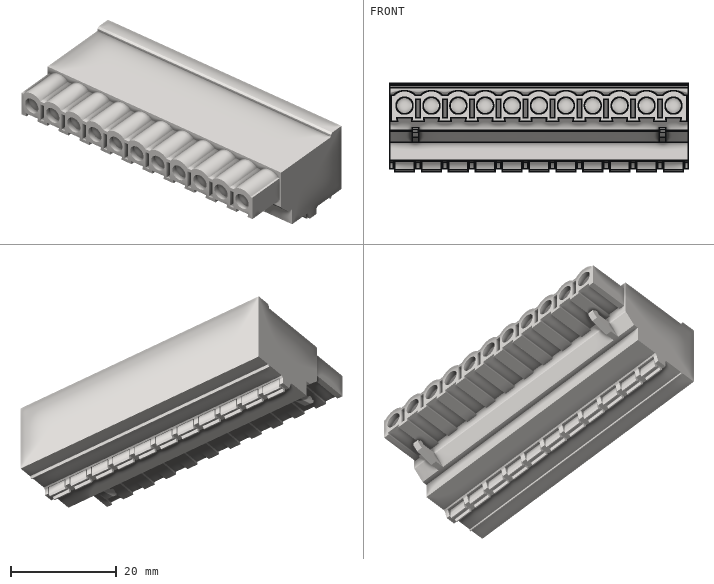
import cadquery as cq
import math


length = 56.5
pole_count = 11
pole_pitch = 5.1

housing_depth = 18.3
housing_top = 13.7
lower_depth = 15.0
undercut_bottom = 3.45
undercut_run = 2.2
undercut_rise = 2.05
undercut_edge_depth = 0.1
undercut_edge_height = 0.2
rim_height = 0.85
rim_depth = 3.15
rim_chamfer = 0.35
undercut_front = housing_depth - undercut_edge_depth
undercut_top = undercut_bottom + undercut_rise

sleeve_length = 8.3
sleeve_end_gap = 0.35
sleeve_axis_z = 10.35
sleeve_radius = 2.8
sleeve_shoulder_z = 12.25
sleeve_bottom_z = 7.35
bore_radius = 1.6
bore_depth = 1.15
slot_width = 0.85
slot_bottom_z = 8.0
slot_top_z = 11.6
notch_top_width = 2.95
notch_bottom_width = 2.65

lever_width = 1.25
lever_offset = 23.4
lever_bend_depth = 17.9
lever_nose_depth = 21.7
lever_nose_z = 4.35
lever_top_z = 5.6
lever_tip_depth = 22.7
lever_tip_z = 5.75
lever_tip_height = 0.5
catch_rear = 21.2
catch_front = 22.4
catch_top_z = 6.15
catch_slope = 0.4

foot_rear = 7.55
foot_front = 9.55
foot_width = 3.75
foot_height = 1.65
bead_height = 0.55
bead_width = 0.7
bead_bevel_width = 0.2
bead_bevel_height = 0.4
rib_width = 0.95
rib_root_front = 10.0
cove = 0.35
plinth_height = 0.2
ridge_rear = 2.95
ridge_front = 3.4
ridge_flat = 0.15
ridge_height = 0.45

pole_positions = [(i - (pole_count - 1) / 2) * pole_pitch for i in range(pole_count)]
gap_positions = [x + pole_pitch / 2 for x in pole_positions[:-1]]


def side_prism(depth_height_points, width, x_middle=0.0):
    """Extrude a (distance forward of the rear face, height) outline along X."""
    outline = [(-depth, height) for depth, height in depth_height_points]
    prism = cq.Workplane("YZ").polyline(outline).close().extrude(width / 2, both=True)
    return prism.translate((x_middle, 0, 0))


def front_sketch(depth):
    """Sketch plane facing -Y, this far forward of the rear face; a negative extrusion runs back towards +Y."""
    return cq.Workplane("XZ", origin=(0, -depth, 0))


def make_housing():
    rim_top = housing_top + rim_height
    return side_prism(
        [
            (0, 0),
            (lower_depth, 0),
            (lower_depth, undercut_bottom),
            (undercut_front - undercut_run, undercut_bottom),
            (undercut_front, undercut_top),
            (housing_depth, undercut_top + undercut_edge_height),
            (housing_depth, housing_top),
            (rim_depth, housing_top),
            (rim_depth, rim_top - rim_chamfer),
            (rim_depth - rim_chamfer, rim_top),
            (0, rim_top),
        ],
        length,
    )


def make_sleeves():
    row_length = length - 2 * sleeve_end_gap
    row_height = sleeve_shoulder_z - sleeve_bottom_z
    row = (
        front_sketch(housing_depth)
        .center(0, sleeve_bottom_z + row_height / 2)
        .rect(row_length, row_height)
        .extrude(sleeve_length)
    )

    arch_half_width = math.sqrt(sleeve_radius**2 - (sleeve_shoulder_z - sleeve_axis_z) ** 2)
    for x in pole_positions:
        arch = (
            front_sketch(housing_depth)
            .moveTo(x - arch_half_width, sleeve_shoulder_z)
            .threePointArc(
                (x, sleeve_axis_z + sleeve_radius),
                (x + arch_half_width, sleeve_shoulder_z),
            )
            .close()
            .extrude(sleeve_length)
        )
        row = row.union(arch)

    sleeve_front = housing_depth + sleeve_length
    bores = (
        front_sketch(sleeve_front)
        .pushPoints([(x, sleeve_axis_z) for x in pole_positions])
        .circle(bore_radius)
        .extrude(-bore_depth)
    )
    slots = (
        front_sketch(sleeve_front)
        .pushPoints([(x, (slot_bottom_z + slot_top_z) / 2) for x in gap_positions])
        .rect(slot_width, slot_top_z - slot_bottom_z)
        .extrude(-sleeve_length)
    )
    row = row.cut(bores).cut(slots)

    for x in pole_positions:
        notch = (
            front_sketch(sleeve_front)
            .polyline(
                [
                    (x - notch_bottom_width / 2, sleeve_bottom_z),
                    (x + notch_bottom_width / 2, sleeve_bottom_z),
                    (x + notch_top_width / 2, slot_bottom_z),
                    (x - notch_top_width / 2, slot_bottom_z),
                ]
            )
            .close()
            .extrude(-sleeve_length)
        )
        row = row.cut(notch)
    return row


def make_lever(x):
    """Flat tab that carries on the sloping undercut and ends in an upturned finger catch."""
    return side_prism(
        [
            (undercut_front - undercut_run, undercut_bottom),
            (lever_bend_depth, undercut_bottom),
            (lever_nose_depth, lever_nose_z),
            (lever_tip_depth, lever_tip_z - lever_tip_height),
            (lever_tip_depth, lever_tip_z),
            (catch_front, lever_tip_z),
            (catch_front - catch_slope, catch_top_z),
            (catch_rear + catch_slope, catch_top_z),
            (catch_rear, lever_top_z),
            (undercut_front, lever_top_z),
            (undercut_front, undercut_top),
        ],
        lever_width,
        x,
    )


def make_plinth():
    """Full-length flared strip from which the feet and ribs hang."""
    flare = cove - plinth_height
    return side_prism(
        [
            (foot_rear - cove, 0),
            (rib_root_front + cove, 0),
            (rib_root_front + flare, -plinth_height),
            (foot_rear - flare, -plinth_height),
        ],
        length,
    )


def make_foot(x):
    """Upright foot under one pole, ending in two bevelled beads with a groove between them."""
    tip = -foot_height - bead_height
    bevel_top = tip + bead_bevel_height
    rear_bead_end = foot_rear + bead_width
    front_bead_start = foot_front - bead_width
    return side_prism(
        [
            (foot_rear, 0),
            (foot_rear, bevel_top),
            (foot_rear + bead_bevel_width, tip),
            (rear_bead_end - bead_bevel_width, tip),
            (rear_bead_end, bevel_top),
            (rear_bead_end, -foot_height),
            (front_bead_start, -foot_height),
            (front_bead_start, bevel_top),
            (front_bead_start + bead_bevel_width, tip),
            (foot_front - bead_bevel_width, tip),
            (foot_front, bevel_top),
            (foot_front, 0),
        ],
        foot_width,
        x,
    )


def make_rib(x, width):
    """Tapered rib between two feet, flared where it meets the housing."""
    return side_prism(
        [
            (foot_rear - cove, 0),
            (foot_rear, -cove),
            (foot_rear, -foot_height),
            (foot_front, -foot_height),
            (rib_root_front, -cove),
            (rib_root_front + cove, 0),
        ],
        width,
        x,
    )


def make_ridge():
    return side_prism(
        [
            (ridge_rear, 0),
            (ridge_front - ridge_flat, -ridge_height),
            (ridge_front, -ridge_height),
            (ridge_front, 0),
        ],
        length,
    )


result = make_housing().union(make_sleeves())
for side in (-1, 1):
    result = result.union(make_lever(side * lever_offset))

result = result.union(make_plinth()).union(make_ridge())
for x in pole_positions:
    result = result.union(make_foot(x))
for x in gap_positions:
    result = result.union(make_rib(x, rib_width))

outer_rib_inner_edge = (pole_count * pole_pitch - rib_width) / 2
end_rib_width = length / 2 - outer_rib_inner_edge
for side in (-1, 1):
    end_rib_middle = side * (length - end_rib_width) / 2
    result = result.union(make_rib(end_rib_middle, end_rib_width))